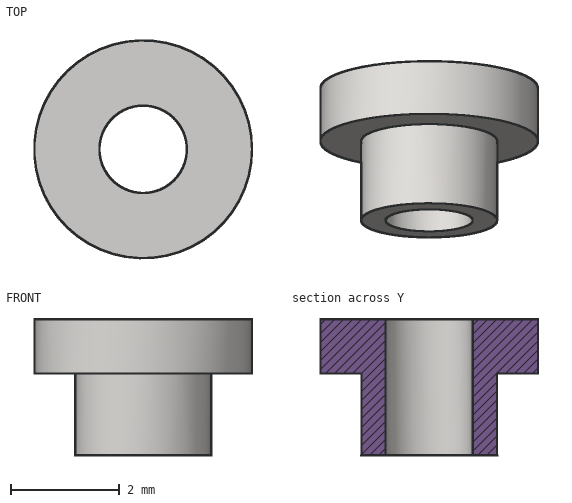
import cadquery as cq

flange_diameter = 4.0
flange_thickness = 1.0
sleeve_diameter = 2.5
sleeve_length = 1.5
bore_diameter = 1.6

sleeve = cq.Workplane("XY").circle(sleeve_diameter / 2).extrude(sleeve_length)

bushing = sleeve.faces(">Z").workplane().circle(flange_diameter / 2).extrude(flange_thickness)

result = bushing.faces(">Z").workplane().hole(bore_diameter)